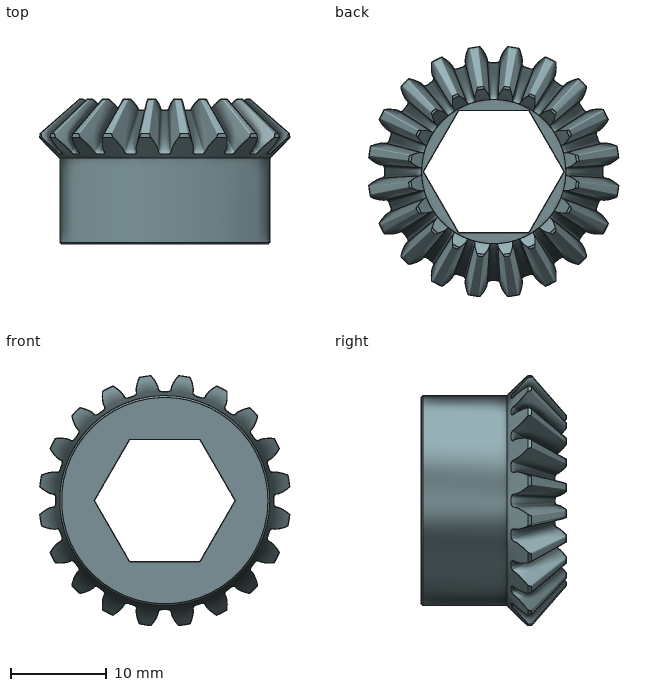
import cadquery as cq
import math


tooth_count = 20
module = 1.25
pressure_angle = math.radians(20)
pitch_angle = math.radians(45)
dedendum_factor = 1.22
root_fillet = 0.4

hub_radius = 11.0
hub_length = 9.0
hub_chamfer = 0.2
total_length = 15.2
tip_radius = 13.17
face_width = 6.0
tip_fillet = 0.15
hex_sides = 6
hex_across_flats = 12.75

pitch_radius = module * tooth_count / 2
pitch_y = hub_length + pitch_radius - hub_radius
apex_y = pitch_y + pitch_radius
cone_distance = pitch_radius / math.sin(pitch_angle)
addendum = module
dedendum = dedendum_factor * module

face_slope = math.tan(pitch_angle + math.atan(addendum / cone_distance))
root_slope = math.tan(pitch_angle - math.atan(dedendum / cone_distance))

virtual_pitch_radius = cone_distance
virtual_base_radius = virtual_pitch_radius * math.cos(pressure_angle)
pitch_half_gap = math.pi * module / 4 / virtual_pitch_radius

cutter_large_scale = 1.1
cutter_small_scale = 0.5
cutter_overrun = 0.5
cutter_top_radius = virtual_pitch_radius + addendum + cutter_overrun
flank_points = 7

edge_tolerance = 0.001


def make_blank():
    """Turned body: hub, back cone, tip band, face cone and inner end."""
    back_tip_y = hub_length + tip_radius - hub_radius
    face_tip_y = apex_y - tip_radius / face_slope
    face_end_radius = (apex_y - total_length) * face_slope
    inner_cone_offset = hub_length - hub_radius + face_width / math.sin(pitch_angle)
    floor_y = (root_slope * apex_y + inner_cone_offset) / (1 + root_slope)
    outline = [
        (0, 0),
        (hub_radius - hub_chamfer, 0),
        (hub_radius, hub_chamfer),
        (hub_radius, hub_length),
        (tip_radius, back_tip_y),
        (tip_radius, face_tip_y),
        (face_end_radius, total_length),
        (total_length - inner_cone_offset, total_length),
        (floor_y - inner_cone_offset, floor_y),
        (0, floor_y),
    ]
    return cq.Workplane("XY").polyline(outline).close().revolve(360, (0, 0, 0), (0, 1, 0))


def involute_roll(radius):
    """Involute function of the pressure angle at the given radius."""
    angle = math.acos(virtual_base_radius / radius)
    return math.tan(angle) - angle


def gap_point(radius, half_angle, scale):
    """Point of the gap section, measured from the pitch cone."""
    x = radius * math.sin(half_angle)
    y = radius * math.cos(half_angle) - virtual_pitch_radius
    return (scale * x, scale * y)


def flank(scale):
    """Involute flank of a gap, from its base circle to above the tooth tip."""
    pitch_roll = involute_roll(virtual_pitch_radius)
    span = cutter_top_radius - virtual_base_radius
    points = []
    for i in range(flank_points):
        radius = virtual_base_radius + span * (i / (flank_points - 1)) ** 2
        half_angle = pitch_half_gap + involute_roll(radius) - pitch_roll
        points.append(gap_point(radius, half_angle, scale))
    return points


def gap_section(scale):
    """Closed section of one tooth gap on a plane square to the pitch cone."""
    right = flank(scale)
    left = [(-x, y) for x, y in reversed(right)]
    base_x, base_y = right[0]
    root_y = -scale * dedendum
    fillet = scale * root_fillet
    fillet_x = base_x - fillet
    fillet_y = root_y + fillet
    bend = fillet * math.sin(math.pi / 4)
    station = pitch_radius * scale
    plane = cq.Plane(origin=(station, apex_y - station, 0), xDir=(0, 0, -1), normal=(1, -1, 0))
    return (
        cq.Workplane(plane)
        .moveTo(-fillet_x, root_y)
        .lineTo(fillet_x, root_y)
        .threePointArc((fillet_x + bend, fillet_y - bend), (base_x, fillet_y))
        .lineTo(base_x, base_y)
        .spline(right[1:], includeCurrent=True)
        .lineTo(*left[0])
        .spline(left[1:], includeCurrent=True)
        .lineTo(-base_x, fillet_y)
        .threePointArc((-fillet_x - bend, fillet_y - bend), (-fillet_x, root_y))
        .close()
        .wire()
        .val()
    )


def cut_teeth(body):
    """Cut all tooth gaps, the first one centred on +X."""
    sections = [gap_section(cutter_large_scale), gap_section(cutter_small_scale)]
    cutter = cq.Workplane(cq.Solid.makeLoft(sections, True))
    for i in range(tooth_count):
        body = body.cut(cutter.rotate((0, 0, 0), (0, 1, 0), i * 360 / tooth_count))
    return body


def is_tip_edge(edge):
    """True for a side edge of a tooth top, which runs along the face cone."""
    start = edge.startPoint()
    end = edge.endPoint()
    for point in (start, end):
        cone_radius = (apex_y - point.y) * face_slope
        if abs(math.hypot(point.x, point.z) - cone_radius) > edge_tolerance:
            return False
    return abs(start.y - end.y) > edge_tolerance


def round_tooth_tips(body):
    """Round both side edges of every tooth top."""
    tip_edges = [edge for edge in body.edges().vals() if is_tip_edge(edge)]
    return body.newObject(tip_edges).fillet(tip_fillet)


def cut_hex_bore(body):
    """Through bore with two corners on the X axis."""
    across_corners = hex_across_flats / math.cos(math.pi / hex_sides)
    bore = cq.Workplane("XZ").polygon(hex_sides, across_corners).extrude(-total_length)
    return body.cut(bore)


result = cut_hex_bore(round_tooth_tips(cut_teeth(make_blank())))